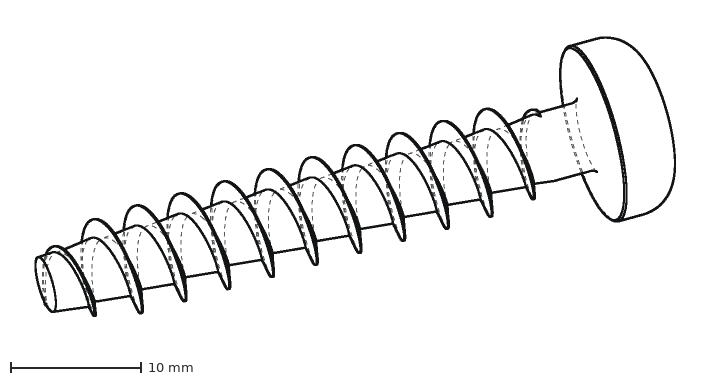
import cadquery as cq
import math

LENGTH = 50.0
HEAD_RADIUS = 7.0
HEAD_HEIGHT = 5.0
HEAD_ROUND = 2.75
BEARING_EDGE_CHAMFER = 0.15
SHANK_RADIUS = 2.7
SHANK_LENGTH = 3.9
NECK_FILLET = 0.9
TIP_Y = HEAD_HEIGHT - LENGTH

PITCH = 3.6
CREST_RADIUS = 4.05
CREST_HALF_WIDTH = 0.05
FLANK_ANGLE = 15.0
CORE_RADIUS = 2.05
CORE_STEP_TOP = 2.6
CORE_STEP_BOTTOM = 2.25
TIP_RADIUS = 2.1
BURIED_RADIUS = 1.85
SEAM_GAP = 0.1
THREAD_START_Y = -PITCH
THREAD_TURNS = 11.5
RUN_IN_TURNS = 1.0
RUN_OUT_TURNS = 1.5
RUN_IN_RADIUS = 2.9
POINTS_PER_TURN = 16


def blend(start, end, fraction):
    """Interpolate linearly, holding the end values outside 0..1."""
    return start + (end - start) * min(max(fraction, 0.0), 1.0)


def crest_radius(turn):
    """Thread crest, growing from the shank and fading into the tip."""
    run_in = blend(RUN_IN_RADIUS, CREST_RADIUS, turn / RUN_IN_TURNS)
    run_out = blend(CORE_STEP_BOTTOM, CREST_RADIUS, (THREAD_TURNS - turn) / RUN_OUT_TURNS)
    return min(run_in, run_out)


def thread_section(turn):
    """Corners (radius, axial offset) of the thread profile."""
    crest = crest_radius(turn)
    flank_width = (crest - BURIED_RADIUS) * math.tan(math.radians(FLANK_ANGLE))
    base_half_width = CREST_HALF_WIDTH + flank_width
    return [
        (BURIED_RADIUS, base_half_width),
        (crest, CREST_HALF_WIDTH),
        (crest, -CREST_HALF_WIDTH),
        (BURIED_RADIUS, -base_half_width),
    ]


def core_section(turn):
    """Corners (radius, axial offset) of the tapered core between thread turns."""
    remaining = THREAD_TURNS - turn
    top = blend(TIP_RADIUS, CORE_STEP_TOP, remaining)
    bottom = blend(TIP_RADIUS, CORE_STEP_BOTTOM, remaining - 1)
    near = -SEAM_GAP / 2
    far = SEAM_GAP / 2 - PITCH
    return [
        (BURIED_RADIUS, near),
        (top, near),
        (bottom, far),
        (BURIED_RADIUS, far),
    ]


def helix_point(turn, corner):
    """Place a section corner; turn 0 faces +Z and rotation runs toward -X."""
    radius, offset = corner
    angle = math.pi / 2 + 2 * math.pi * turn
    y = THREAD_START_Y - PITCH * turn + offset
    return cq.Vector(radius * math.cos(angle), y, radius * math.sin(angle))


def helical_piece(section, first_turn, last_turn):
    """Solid bounded by ruled faces between the helical paths of the section corners."""
    steps = round((last_turn - first_turn) * POINTS_PER_TURN)
    turns = [first_turn + i / POINTS_PER_TURN for i in range(steps + 1)]
    corner_count = len(section(first_turn))
    paths = []
    for i in range(corner_count):
        points = [helix_point(turn, section(turn)[i]) for turn in turns]
        paths.append(cq.Edge.makeSpline(points))
    faces = []
    for i in range(corner_count):
        faces.append(cq.Face.makeRuledSurface(paths[i], paths[(i + 1) % corner_count]))
    for turn in (turns[0], turns[-1]):
        corners = [helix_point(turn, corner) for corner in section(turn)]
        outline = cq.Wire.makePolygon(corners, close=True)
        faces.append(cq.Face.makeFromWires(outline))
    solid = cq.Solid.makeSolid(cq.Shell.makeShell(faces))
    return solid.fix()


def turned_body():
    """Head, shank, first cone below the shank and cylindrical core, as one revolve."""
    diagonal = math.sqrt(0.5)
    round_mid = (
        HEAD_RADIUS - HEAD_ROUND * (1 - diagonal),
        HEAD_HEIGHT - HEAD_ROUND * (1 - diagonal),
    )
    neck_mid = (
        SHANK_RADIUS + NECK_FILLET * (1 - diagonal),
        -NECK_FILLET * (1 - diagonal),
    )
    return (
        cq.Workplane("XY")
        .moveTo(0, HEAD_HEIGHT)
        .lineTo(HEAD_RADIUS - HEAD_ROUND, HEAD_HEIGHT)
        .threePointArc(round_mid, (HEAD_RADIUS, HEAD_HEIGHT - HEAD_ROUND))
        .lineTo(HEAD_RADIUS, BEARING_EDGE_CHAMFER)
        .lineTo(HEAD_RADIUS - BEARING_EDGE_CHAMFER, 0)
        .lineTo(SHANK_RADIUS + NECK_FILLET, 0)
        .threePointArc(neck_mid, (SHANK_RADIUS, -NECK_FILLET))
        .lineTo(SHANK_RADIUS, -SHANK_LENGTH)
        .lineTo(CORE_STEP_BOTTOM, -SHANK_LENGTH - PITCH)
        .lineTo(CORE_RADIUS, -SHANK_LENGTH - PITCH)
        .lineTo(CORE_RADIUS, TIP_Y)
        .lineTo(0, TIP_Y)
        .close()
        .revolve(360, (0, 0, 0), (0, 1, 0))
    )


def threaded_zone():
    """Cylinder between shank and tip that trims both ends of the helical solids."""
    zone_length = -SHANK_LENGTH - TIP_Y
    return (
        cq.Workplane("XZ", origin=(0, -SHANK_LENGTH, 0))
        .circle(HEAD_RADIUS)
        .extrude(zone_length)
    )


def helical_pieces(section):
    """The whole helix as consecutive pieces of at most one turn, joined end to end."""
    pieces = []
    for turn in range(math.ceil(THREAD_TURNS)):
        pieces.append(helical_piece(section, turn, min(turn + 1, THREAD_TURNS)))
    return pieces


result = turned_body()
for profile in (core_section, thread_section):
    for piece in helical_pieces(profile):
        result = result.union(threaded_zone().intersect(cq.Workplane(piece)))